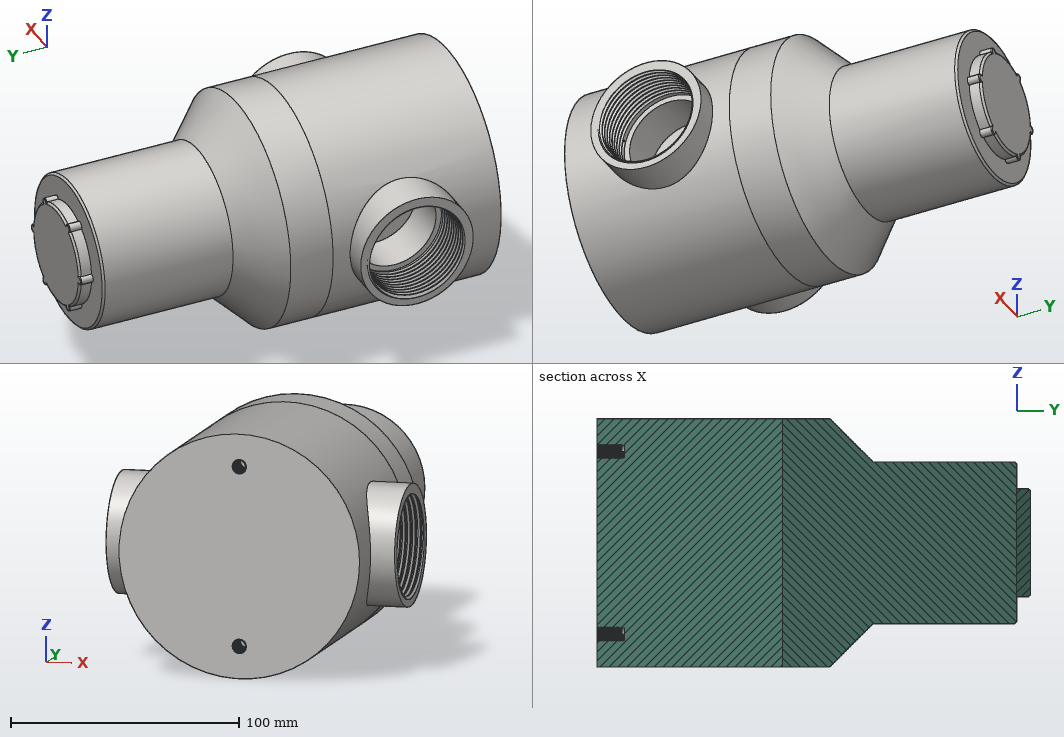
import cadquery as cq
import math

OVERALL_LENGTH = 190.0
OVERALL_WIDTH = 130.8

BASE_DIAMETER = 109.0
BASE_LENGTH = 81.5

NECK_DIAMETER = 71.0
SHOULDER_LENGTH = 20.5
CONE_LENGTH = (BASE_DIAMETER - NECK_DIAMETER) / 2
NECK_CHAMFER = 1.0

KNOB_DIAMETER = 47.5
KNOB_HEIGHT = 6.0
KNOB_EDGE_CHAMFER = 1.0
RIB_DIAMETER = 4.0
RIB_TIP_DIAMETER = 51.0
RIB_CIRCLE_RADIUS = (RIB_TIP_DIAMETER - RIB_DIAMETER) / 2
RIB_COUNT = 6
RIB_EDGE_CHAMFER = 0.4

PORT_DIAMETER = 54.5
PORT_LENGTH = 22.7
PORT_Y = 46.0
PORT_FACE_X = OVERALL_WIDTH / 2
PORT_BORE = 40.0
PORT_BORE_DEPTH = 20.0

PORT_MINOR_DIAMETER = 45.2
PORT_MAJOR_DIAMETER = 47.8
PORT_PITCH = 2.309
PORT_THREAD_START_ANGLE = -105.0

TAP_MINOR_DIAMETER = 5.2
TAP_MAJOR_DIAMETER = 6.0
TAP_PITCH = 1.0
TAP_MOUTH_DIAMETER = 6.4
TAP_DEPTH = 12.0
TAP_SPACING = 80.0

THREAD_ROOT_WIDTH_RATIO = 0.1
THREAD_MOUTH_WIDTH_RATIO = 0.9
THREAD_OVERCUT_RATIO = 0.1

BONNET_END_Y = OVERALL_LENGTH - KNOB_HEIGHT


def cylinder_along_y(diameter, start, length):
    """Cylinder on the valve axis, growing toward +Y from Y = start."""
    plane = cq.Plane(origin=(0, start, 0), xDir=(1, 0, 0), normal=(0, 1, 0))
    return cq.Workplane(plane).circle(diameter / 2).extrude(length)


def port_plane(depth):
    """Plane across the -X port at this depth behind its face, with its normal pointing inward."""
    return cq.Plane(origin=(depth - PORT_FACE_X, PORT_Y, 0), xDir=(0, 1, 0), normal=(1, 0, 0))


def opposite(body):
    """Copy turned half a revolution about the vertical line through the port centres."""
    return body.rotate((0, PORT_Y, 0), (0, PORT_Y, 1), 180)


def make_port_cavity():
    """Socket for the -X port sleeve, with the narrower flow bore behind it."""
    socket = cq.Workplane(port_plane(0)).circle(PORT_DIAMETER / 2).extrude(PORT_LENGTH)
    bore = cq.Workplane(port_plane(PORT_LENGTH)).circle(PORT_BORE / 2).extrude(PORT_BORE_DEPTH)
    return socket.union(bore)


def make_thread_groove(minor_diameter, major_diameter, pitch, length):
    """Helical V-groove cutter that crosses Z = 0 on the +X side.

    It ends half a pitch before Z = length."""
    mouth_radius = minor_diameter / 2 - THREAD_OVERCUT_RATIO * pitch
    root_radius = major_diameter / 2
    mouth_half_width = THREAD_MOUTH_WIDTH_RATIO * pitch / 2
    root_half_width = THREAD_ROOT_WIDTH_RATIO * pitch / 2
    profile = [
        (mouth_radius, -mouth_half_width),
        (root_radius, -root_half_width),
        (root_radius, root_half_width),
        (mouth_radius, mouth_half_width),
    ]
    lead_in = pitch
    helix = cq.Wire.makeHelix(pitch, lead_in + length - pitch / 2, mouth_radius)
    path = cq.Workplane(obj=helix)
    groove = cq.Workplane("XZ").polyline(profile).close().sweep(path, isFrenet=True)
    return groove.translate((0, 0, -lead_in))


def make_tap_hole():
    """Blind hole in the front face with a countersunk mouth."""
    minor_radius = TAP_MINOR_DIAMETER / 2
    mouth_radius = TAP_MOUTH_DIAMETER / 2
    profile = [
        (0, 0),
        (mouth_radius, 0),
        (minor_radius, mouth_radius - minor_radius),
        (minor_radius, TAP_DEPTH),
        (0, TAP_DEPTH),
    ]
    return cq.Workplane("XY").polyline(profile).close().revolve(360, (0, 0), (0, 1))


def make_tap_groove():
    """Thread groove of a tapped hole."""
    groove = make_thread_groove(TAP_MINOR_DIAMETER, TAP_MAJOR_DIAMETER, TAP_PITCH, TAP_DEPTH)
    return groove.rotate((0, 0, 0), (1, 0, 0), -90)


def make_base():
    base = cylinder_along_y(BASE_DIAMETER, 0, BASE_LENGTH)
    cavity = make_port_cavity()
    base = base.cut(cavity).cut(opposite(cavity))
    tap_hole = make_tap_hole()
    tap_groove = make_tap_groove()
    for side in (-1, 1):
        place = (0, 0, side * TAP_SPACING / 2)
        base = base.cut(tap_hole.translate(place)).cut(tap_groove.translate(place))
    return base


def make_bonnet():
    base_radius = BASE_DIAMETER / 2
    neck_radius = NECK_DIAMETER / 2
    cone_start = BASE_LENGTH + SHOULDER_LENGTH
    profile = [
        (0, BASE_LENGTH),
        (base_radius, BASE_LENGTH),
        (base_radius, cone_start),
        (neck_radius, cone_start + CONE_LENGTH),
        (neck_radius, BONNET_END_Y - NECK_CHAMFER),
        (neck_radius - NECK_CHAMFER, BONNET_END_Y),
        (0, BONNET_END_Y),
    ]
    return cq.Workplane("XY").polyline(profile).close().revolve(360, (0, 0), (0, 1))


def make_knob():
    knob = cylinder_along_y(KNOB_DIAMETER, BONNET_END_Y, KNOB_HEIGHT)
    knob = knob.faces(">Y").chamfer(KNOB_EDGE_CHAMFER)
    rib = cylinder_along_y(RIB_DIAMETER, BONNET_END_Y, KNOB_HEIGHT)
    rib = rib.faces(">Y").chamfer(RIB_EDGE_CHAMFER)
    for index in range(RIB_COUNT):
        angle = math.radians(index * 360 / RIB_COUNT)
        x = RIB_CIRCLE_RADIUS * math.cos(angle)
        z = RIB_CIRCLE_RADIUS * math.sin(angle)
        knob = knob.union(rib.translate((x, 0, z)))
    return knob


def make_port():
    """Threaded sleeve on the -X side."""
    ring = cq.Workplane("XY").circle(PORT_DIAMETER / 2).circle(PORT_MINOR_DIAMETER / 2)
    sleeve = ring.extrude(PORT_LENGTH)
    groove = make_thread_groove(PORT_MINOR_DIAMETER, PORT_MAJOR_DIAMETER, PORT_PITCH, PORT_LENGTH)
    sleeve = sleeve.cut(groove.rotate((0, 0, 0), (0, 0, 1), PORT_THREAD_START_ANGLE))
    return cq.Workplane(obj=sleeve.val().moved(cq.Location(port_plane(0))))


base = make_base()
bonnet = make_bonnet()
knob = make_knob()
port = make_port()
ports = [port, opposite(port)]

bodies = [base, bonnet, knob, *ports]
result = cq.Compound.makeCompound([body.solids().val() for body in bodies])